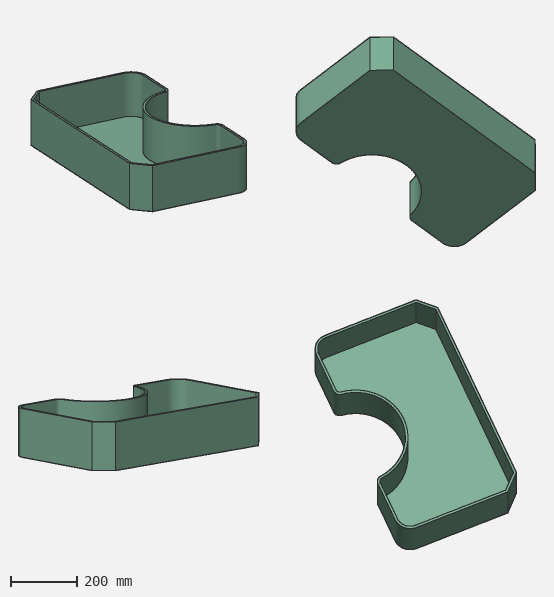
import cadquery as cq

LENGTH = 700.0
WIDTH = 400.0
HEIGHT = 150.0

WALL = 8.0
FLOOR = WALL

FRONT_CHAMFER = 50.0
BACK_RADIUS = 50.0
NOTCH_RADIUS = 150.0
NOTCH_LIP_RADIUS = 20.0


def outer_body():
    """Solid block with chamfered front corners, rounded back corners and a round notch in the back."""
    block = cq.Workplane("XY").box(LENGTH, WIDTH, HEIGHT, centered=(True, True, False))
    block = block.edges("|Z and <Y").chamfer(FRONT_CHAMFER)
    block = block.edges("|Z and >Y").fillet(BACK_RADIUS)
    notch = cq.Workplane("XY").center(0, WIDTH / 2).circle(NOTCH_RADIUS).extrude(HEIGHT)
    lip_edges = cq.selectors.BoxSelector(
        (-NOTCH_RADIUS - WALL, WIDTH / 2 - WALL, 0),
        (NOTCH_RADIUS + WALL, WIDTH / 2 + WALL, HEIGHT),
    )
    return block.cut(notch).edges("|Z").edges(lip_edges).fillet(NOTCH_LIP_RADIUS)


def cavity(body):
    """Open-topped pocket that follows the outline one wall thickness inside it."""
    outline = body.faces(">Z").wires().toPending().offset2D(-WALL)
    return outline.extrude(FLOOR - HEIGHT, combine=False)


body = outer_body()
result = body.cut(cavity(body))